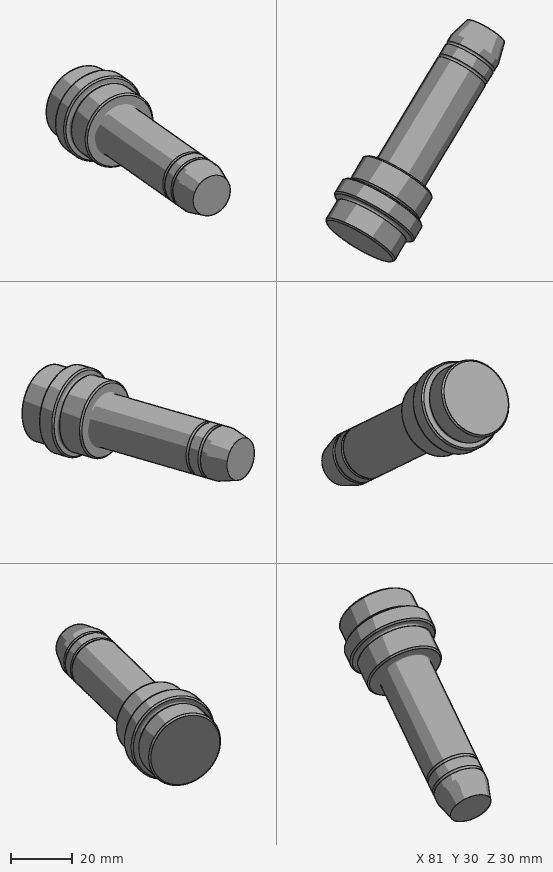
import cadquery as cq
import math

total_length = 81.0
collar_radius = 30.0 / 2
head_radius = 26.0 / 2
shaft_radius = 18.0 / 2

head_end = 7.85
collar_start = 8.9
collar_end = 15.0
spigot_start = 16.0
spigot_end = 24.95
taper_start = 74.0

edge_chamfer = 0.6
shaft_fillet = 0.5
taper_angle = 15.0

undercut_depth = 0.5
shaft_groove_starts = (65.45, 70.4)
shaft_groove_width = 1.05
shaft_groove_depth = 0.4

taper_length = total_length - taper_start
tip_radius = shaft_radius - taper_length * math.tan(math.radians(taper_angle))


def add_groove(outline, start, end, radius, depth):
    """Run along a cylinder to a groove, then across its concave floor."""
    middle = ((start + end) / 2, radius - depth)
    return outline.lineTo(start, radius).threePointArc(middle, (end, radius))


outline = (
    cq.Workplane("XY")
    .lineTo(0, head_radius - edge_chamfer)
    .lineTo(edge_chamfer, head_radius)
)
outline = add_groove(outline, head_end, collar_start, head_radius, undercut_depth)

outline = (
    outline.lineTo(collar_start, collar_radius - edge_chamfer)
    .lineTo(collar_start + edge_chamfer, collar_radius)
    .lineTo(collar_end - edge_chamfer, collar_radius)
    .lineTo(collar_end, collar_radius - edge_chamfer)
)

outline = add_groove(outline, collar_end, spigot_start, head_radius, undercut_depth)
outline = (
    outline.lineTo(spigot_end - edge_chamfer, head_radius)
    .lineTo(spigot_end, head_radius - edge_chamfer)
)

outline = (
    outline.lineTo(spigot_end, shaft_radius + shaft_fillet)
    .radiusArc((spigot_end + shaft_fillet, shaft_radius), -shaft_fillet)
)
for groove_start in shaft_groove_starts:
    groove_end = groove_start + shaft_groove_width
    outline = add_groove(outline, groove_start, groove_end, shaft_radius, shaft_groove_depth)
outline = (
    outline.lineTo(taper_start, shaft_radius)
    .lineTo(total_length, tip_radius)
    .lineTo(total_length, 0)
    .close()
)

result = outline.revolve(360, (0, 0, 0), (1, 0, 0))